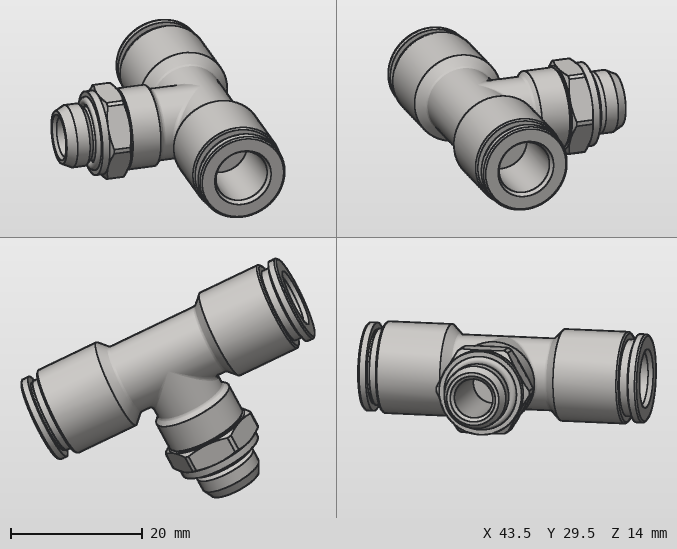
import cadquery as cq
import math

run_length = 43.5
half_run = run_length / 2

neck_diameter = 11.0
crotch_fillet = 0.6
shoulder_fillet = 0.52

socket_diameter = 14.0
socket_start = 2.83
socket_cone_start = 12.92
socket_chamfer = 0.25
flange_diameter = 13.5
flange_thickness = 1.25
flange_chamfer = 0.25
collar_diameter = 11.7
collar_start = 1.6
groove_diameter = 11.35
socket_bore_diameter = 8.15
socket_bore_depth = 10.88
socket_mouth_diameter = 8.95
socket_mouth_depth = 0.7

swivel_diameter = 12.5
swivel_start = 8.22
swivel_end = 12.95
swivel_chamfer = 0.3
hex_width = 12.9
hex_corner_diameter = 14.5
hex_end = 16.4
hex_chamfer = 0.45
washer_diameter = hex_width
washer_end = 17.55
seal_centre_diameter = 10.0
seal_tube_radius = 0.65
relief_diameter = 8.3
thread_cone_start = 18.35
thread_diameter = 9.6
thread_start = 19.05
thread_taper_start = 21.0
thread_tip_diameter = 8.15
branch_length = 22.5
branch_bore_diameter = 6.0
branch_bore_depth = 13.05
branch_bore_chamfer = 0.52


def run_solid(points):
    """Revolve (x, radius) points about the run axis."""
    return cq.Workplane("XY").polyline(points).close().revolve(360, (0, 0, 0), (1, 0, 0))


def branch_solid(points):
    """Revolve (radius, distance) points about the branch axis."""
    outline = [(radius, -distance) for radius, distance in points]
    return cq.Workplane("XY").polyline(outline).close().revolve(360, (0, 0, 0), (0, 1, 0))


def make_necks():
    """Equal cylinders meeting in a tee."""
    radius = neck_diameter / 2
    run = cq.Workplane("YZ").circle(radius).extrude(half_run - socket_cone_start, both=True)
    branch = cq.Workplane("XZ").circle(radius).extrude(swivel_start)
    return run.union(branch)


def make_socket():
    """Push-in socket at the -X end, without its bore."""
    neck = neck_diameter / 2
    socket = socket_diameter / 2
    flange = flange_diameter / 2
    collar = collar_diameter / 2
    groove = groove_diameter / 2
    cone_end = socket_cone_start + socket - neck
    neck_end = cone_end + shoulder_fillet
    outline = [
        (0, 0),
        (0, flange - flange_chamfer),
        (flange_chamfer, flange),
        (flange_thickness, flange),
        (flange_thickness, groove),
        (collar_start, groove),
        (collar_start, collar),
        (socket_start, collar),
        (socket_start, socket - socket_chamfer),
        (socket_start + socket_chamfer, socket),
        (socket_cone_start, socket),
        (cone_end, neck),
        (neck_end, neck),
        (neck_end, 0),
    ]
    body = run_solid([(inset - half_run, radius) for inset, radius in outline])
    cone_x = cone_end - half_run
    margin = shoulder_fillet / 4
    shoulder = cq.selectors.BoxSelector(
        (cone_x - margin, -socket, -socket), (cone_x + margin, socket, socket)
    )
    return body.edges(shoulder).fillet(shoulder_fillet)


def make_socket_bore():
    """Blind bore with a chamfered mouth at the -X end."""
    bore = socket_bore_diameter / 2
    outline = [
        (0, 0),
        (0, socket_mouth_diameter / 2),
        (socket_mouth_depth, bore),
        (socket_bore_depth, bore),
        (socket_bore_depth, 0),
    ]
    return run_solid([(inset - half_run, radius) for inset, radius in outline])


def make_swivel():
    """Round swivel body between the branch neck and the hexagon."""
    neck = neck_diameter / 2
    swivel = swivel_diameter / 2
    cone_start = swivel_start - (swivel - neck)
    neck_start = cone_start - shoulder_fillet
    body = branch_solid([
        (0, neck_start),
        (neck, neck_start),
        (neck, cone_start),
        (swivel, swivel_start),
        (swivel, swivel_end - swivel_chamfer),
        (swivel - swivel_chamfer, swivel_end),
        (0, swivel_end),
    ])
    margin = shoulder_fillet / 4
    shoulder = cq.selectors.BoxSelector(
        (-swivel, -cone_start - margin, -swivel), (swivel, -cone_start + margin, swivel)
    )
    return body.edges(shoulder).fillet(shoulder_fillet)


def make_hexagon():
    """Hexagon with corners toward X, rounded and chamfered at both ends."""
    across_corners = hex_width / math.cos(math.pi / 6)
    prism = (
        cq.Workplane("XZ", origin=(0, -swivel_end, 0))
        .polygon(6, across_corners)
        .extrude(hex_end - swivel_end)
    )
    face = hex_width / 2
    corner = hex_corner_diameter / 2
    envelope = branch_solid([
        (0, swivel_end),
        (face, swivel_end),
        (corner, swivel_end + hex_chamfer),
        (corner, hex_end - hex_chamfer),
        (face, hex_end),
        (0, hex_end),
    ])
    return prism.intersect(envelope)


def make_thread_end():
    """Washer, relief and plain threaded spigot."""
    washer = washer_diameter / 2
    relief = relief_diameter / 2
    thread = thread_diameter / 2
    return branch_solid([
        (0, hex_end),
        (washer, hex_end),
        (washer, washer_end),
        (relief, washer_end),
        (relief, thread_cone_start),
        (thread, thread_start),
        (thread, thread_taper_start),
        (thread_tip_diameter / 2, branch_length),
        (0, branch_length),
    ])


def make_seal():
    """Sealing ring half sunk into the washer face."""
    return (
        cq.Workplane("XY")
        .center(seal_centre_diameter / 2, -washer_end)
        .circle(seal_tube_radius)
        .revolve(360, (-seal_centre_diameter / 2, 0, 0), (-seal_centre_diameter / 2, 1, 0))
    )


def make_branch_bore():
    """Blind bore with a chamfered mouth at the branch tip."""
    bore = branch_bore_diameter / 2
    floor = branch_length - branch_bore_depth
    return branch_solid([
        (0, floor),
        (bore, floor),
        (bore, branch_length - branch_bore_chamfer),
        (bore + branch_bore_chamfer, branch_length),
        (0, branch_length),
    ])


socket = make_socket()
socket_bore = make_socket_bore()

body = make_necks().union(socket).union(socket.mirror("YZ")).union(make_swivel())
result = body.edges("%ELLIPSE").fillet(crotch_fillet)

for addition in (make_hexagon(), make_thread_end(), make_seal()):
    result = result.union(addition)
for bore in (socket_bore, socket_bore.mirror("YZ"), make_branch_bore()):
    result = result.cut(bore)